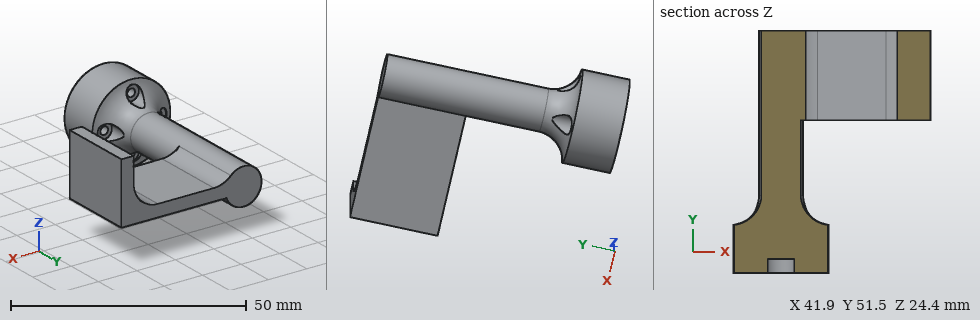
import cadquery as cq
import math

INCH = 25.4

flange_radius = 0.4 * INCH
flange_thickness = 10.2

rod_radius = 4.7
rod_length = 41.28
blend_radius = 0.25 * INCH
blend_end_y = flange_thickness + blend_radius
total_length = flange_thickness + rod_length

bore_diameter = 6.9
bore_depth = 3.0

screw_count = 4
screw_circle_radius = 7.0
screw_hole_diameter = 2.0
screw_head_diameter = 4.0

arm_width = 0.75 * INCH
arm_thickness = 0.125 * INCH
arm_reach = 1.25 * INCH
arm_bottom = -arm_thickness / 2
arm_top = arm_thickness / 2
lip_top = 0.5625 * INCH


def along_y(y_start):
    """Workplane at the given Y, with local X = X, local Y = Z and extrusion along -Y."""
    return cq.Workplane("XZ", origin=(0, y_start, 0))


def cylinder(x, z, diameter, y_start, y_end):
    return along_y(y_end).center(x, z).circle(diameter / 2).extrude(y_end - y_start)


def make_flanged_rod():
    """Flange, blend and rod as one solid of revolution about Y."""
    blend_center_r = rod_radius + blend_radius

    def blend_point(r):
        rise = math.sqrt(blend_radius**2 - (blend_center_r - r) ** 2)
        return (r, blend_end_y - rise)

    blend_middle_r = blend_center_r - blend_radius * math.cos(math.radians(45))
    return (
        cq.Workplane("XY")
        .lineTo(flange_radius, 0)
        .lineTo(*blend_point(flange_radius))
        .threePointArc(blend_point(blend_middle_r), (rod_radius, blend_end_y))
        .lineTo(rod_radius, total_length)
        .lineTo(0, total_length)
        .close()
        .revolve(360, (0, 0, 0), (0, 1, 0))
    )


def make_arm():
    """L-shaped arm whose top runs into the rod through a tangent concave arc."""
    root_center_z = arm_top + blend_radius
    root_center_x = math.sqrt((rod_radius + blend_radius) ** 2 - root_center_z**2)
    rod_share = rod_radius / (rod_radius + blend_radius)
    rod_tangent = (root_center_x * rod_share, root_center_z * rod_share)

    lip_inner_x = arm_reach - arm_thickness
    corner_start_x = lip_inner_x - blend_radius
    corner_end_z = arm_top + blend_radius
    return (
        along_y(total_length)
        .moveTo(0, arm_bottom)
        .lineTo(arm_reach, arm_bottom)
        .lineTo(arm_reach, lip_top)
        .lineTo(lip_inner_x, lip_top)
        .lineTo(lip_inner_x, corner_end_z)
        .radiusArc((corner_start_x, arm_top), blend_radius)
        .lineTo(root_center_x, arm_top)
        .radiusArc(rod_tangent, blend_radius)
        .lineTo(0, 0)
        .close()
        .extrude(arm_width)
    )


def make_bore():
    return cylinder(0, 0, bore_diameter, 0, bore_depth)


def make_screw_cut(angle):
    """Clearance hole through the flange, with head clearance above its back face."""
    x = screw_circle_radius * math.cos(angle)
    z = screw_circle_radius * math.sin(angle)
    hole = cylinder(x, z, screw_hole_diameter, 0, blend_end_y)
    head = cylinder(x, z, screw_head_diameter, flange_thickness, blend_end_y)
    return hole.union(head)


result = make_flanged_rod().union(make_arm()).cut(make_bore())
for index in range(screw_count):
    result = result.cut(make_screw_cut(2 * math.pi * index / screw_count))